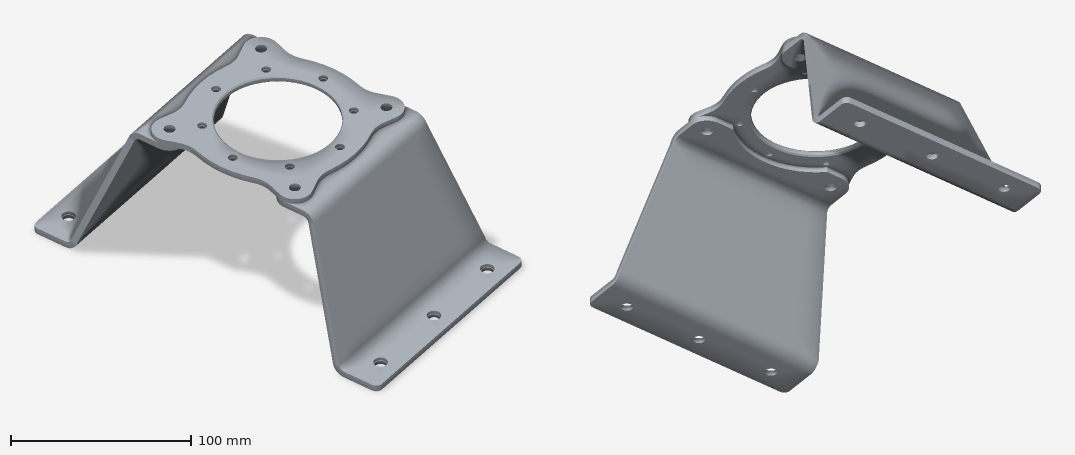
import cadquery as cq
import math

overall_length = 237.5
overall_height = 93.8
sheet = 4.0
recess_depth = 0.7

corner_hole_offset = 43.0
corner_radius = 10.2
bolt_diameter = 6.7
lobe_reach = 52.7
lobe_radius = 61.8
lobe_half_width = 19.2
scallop_radius = 19.0
bore_diameter = 71.5
bore_chamfer = 0.83
screw_count = 8
screw_circle_radius = 42.5
screw_diameter = 3.5
screw_head_diameter = 5.5
screw_head_depth = 2.0

foot_width = 137.8
top_width = 2 * (corner_hole_offset + corner_radius)
web_lean = 20.0
bend_inner_radius = 4.0
flange_bend_x = 55.8
foot_corner_radius = 4.0
foot_hole_x = 107.2
foot_hole_pitch = 50.1
foot_hole_diameter = 6.7
foot_sink_diameter = 8.0
foot_sink_depth = 2.0
flange_relief_radius = 46.3

plate_bottom = overall_height - sheet
bracket_height = plate_bottom + recess_depth
bend_outer_radius = bend_inner_radius + sheet
bend_angle = math.radians(90 - web_lean)
bend_sin = math.sin(bend_angle)
bend_cos = math.cos(bend_angle)
bend_run = (bend_inner_radius + bend_outer_radius) * bend_sin
bend_rise = (bend_inner_radius + bend_outer_radius) * (1 - bend_cos)
web_length = (bracket_height - sheet - bend_rise) / bend_sin
foot_bend_x = flange_bend_x + bend_run + web_length * bend_cos
flange_end_x = corner_hole_offset - corner_radius

foot_bend_centre = (foot_bend_x, sheet + bend_inner_radius)
foot_bend_end_angle = -math.pi / 2 - bend_angle


def on_circle(centre, radius, angle):
    return (centre[0] + radius * math.cos(angle), centre[1] + radius * math.sin(angle))


def scalloped_blank():
    """Plate blank: one scalloped side and its corner, repeated four times round the centre."""
    corner = (corner_hole_offset, corner_hole_offset)
    lobe = (0, lobe_reach - lobe_radius)
    lobe_angle = math.acos(lobe_half_width / lobe_radius)
    hollow = on_circle(lobe, lobe_radius + scallop_radius, lobe_angle)

    dx = hollow[0] - corner[0]
    dy = hollow[1] - corner[1]
    spread = math.acos((corner_radius + scallop_radius) / math.hypot(dx, dy))
    flank_angle = math.atan2(dy, dx) - spread
    lobe_end = on_circle(lobe, lobe_radius, lobe_angle)
    hollow_middle = on_circle(hollow, scallop_radius, -math.pi / 2)
    hollow_end = on_circle(hollow, scallop_radius, flank_angle + math.pi)
    corner_start = on_circle(corner, corner_radius, flank_angle)
    corner_middle = on_circle(corner, corner_radius, math.pi / 4)

    def mirrored(point):
        return (-point[0], point[1])

    def turned(point, quarter):
        for _ in range(quarter):
            point = (point[1], -point[0])
        return point

    outline = cq.Workplane("XY", origin=(0, 0, plate_bottom)).moveTo(*mirrored(corner_start))
    for quarter in range(4):
        outline = (
            outline
            .lineTo(*turned(mirrored(hollow_end), quarter))
            .threePointArc(turned(mirrored(hollow_middle), quarter), turned(mirrored(lobe_end), quarter))
            .threePointArc(turned((0, lobe_reach), quarter), turned(lobe_end, quarter))
            .threePointArc(turned(hollow_middle, quarter), turned(hollow_end, quarter))
            .lineTo(*turned(corner_start, quarter))
            .threePointArc(
                turned(corner_middle, quarter),
                turned(mirrored(corner_start), quarter + 1),
            )
        )
    return outline.close().extrude(sheet)


def corner_bolt_holes(body):
    spacing = 2 * corner_hole_offset
    cutter = (
        cq.Workplane("XY")
        .rect(spacing, spacing, forConstruction=True)
        .vertices()
        .circle(bolt_diameter / 2)
        .extrude(overall_height)
    )
    return body.cut(cutter)


def make_foot():
    """Foot and its bend at full width, with the counterbored mounting holes."""
    foot_inner_end = on_circle(foot_bend_centre, bend_inner_radius, foot_bend_end_angle)
    foot_outer_end = on_circle(foot_bend_centre, bend_outer_radius, foot_bend_end_angle)
    foot_middle_angle = -math.pi / 2 - bend_angle / 2
    foot = (
        cq.Workplane("XZ")
        .moveTo(overall_length / 2, 0)
        .lineTo(foot_bend_x, 0)
        .threePointArc(
            on_circle(foot_bend_centre, bend_outer_radius, foot_middle_angle),
            foot_outer_end,
        )
        .lineTo(*foot_inner_end)
        .threePointArc(
            on_circle(foot_bend_centre, bend_inner_radius, foot_middle_angle),
            (foot_bend_x, sheet),
        )
        .lineTo(overall_length / 2, sheet)
        .close()
        .extrude(foot_width / 2, both=True)
        .edges("|Z and >X")
        .fillet(foot_corner_radius)
    )
    foot_holes = [(foot_hole_x, row * foot_hole_pitch) for row in (-1, 0, 1)]
    return (
        foot
        .cut(
            cq.Workplane("XY").pushPoints(foot_holes)
            .circle(foot_hole_diameter / 2).extrude(sheet)
        )
        .cut(
            cq.Workplane("XY", origin=(0, 0, sheet)).pushPoints(foot_holes)
            .circle(foot_sink_diameter / 2).extrude(-foot_sink_depth)
        )
    )


def make_flange():
    """Flange and its bend at the narrower top width, ending in an ear round each bolt hole."""
    top_centre = (flange_bend_x, bracket_height - bend_outer_radius)
    top_end_angle = math.pi / 2 - bend_angle
    top_middle_angle = math.pi / 2 - bend_angle / 2
    flange = (
        cq.Workplane("XZ")
        .moveTo(flange_end_x, bracket_height)
        .lineTo(flange_bend_x, bracket_height)
        .threePointArc(
            on_circle(top_centre, bend_outer_radius, top_middle_angle),
            on_circle(top_centre, bend_outer_radius, top_end_angle),
        )
        .lineTo(*on_circle(top_centre, bend_inner_radius, top_end_angle))
        .threePointArc(
            on_circle(top_centre, bend_inner_radius, top_middle_angle),
            (flange_bend_x, bracket_height - sheet),
        )
        .lineTo(flange_end_x, bracket_height - sheet)
        .close()
        .extrude(top_width / 2, both=True)
        .edges("|Z and <X")
        .fillet(corner_radius)
        .cut(cq.Workplane("XY").circle(flange_relief_radius).extrude(overall_height))
    )
    return corner_bolt_holes(flange)


def make_web():
    """Leaning web, tapered between the two widths, starting where the foot bend ends."""
    web_start = on_circle(foot_bend_centre, bend_outer_radius, foot_bend_end_angle)
    web_plane = cq.Plane(
        origin=(web_start[0], 0, web_start[1]),
        xDir=(0, 1, 0),
        normal=(bend_sin, 0, bend_cos),
    )
    return (
        cq.Workplane(web_plane)
        .polyline([
            (-foot_width / 2, 0),
            (foot_width / 2, 0),
            (top_width / 2, web_length),
            (-top_width / 2, web_length),
        ])
        .close()
        .extrude(sheet)
    )


def make_bracket():
    """Bracket on the +X side: foot, tapered web and flange in one bent sheet."""
    return make_foot().union(make_web()).union(make_flange())


def chamfered_bore():
    """Cutter for the bore, flared by a chamfer at both ends."""
    radius = bore_diameter / 2
    return (
        cq.Workplane("XZ")
        .moveTo(0, plate_bottom)
        .lineTo(radius + bore_chamfer, plate_bottom)
        .lineTo(radius, plate_bottom + bore_chamfer)
        .lineTo(radius, overall_height - bore_chamfer)
        .lineTo(radius + bore_chamfer, overall_height)
        .lineTo(0, overall_height)
        .close()
        .revolve(360, (0, 0, 0), (0, 1, 0))
    )


def make_plate(brackets):
    plate = corner_bolt_holes(scalloped_blank())
    plate = plate.cut(chamfered_bore())
    plate = (
        plate.faces(">Z").workplane(origin=(0, 0, overall_height))
        .polarArray(screw_circle_radius, 0, 360, screw_count)
        .cboreHole(screw_diameter, screw_head_diameter, screw_head_depth)
    )
    for bracket in brackets:
        plate = plate.cut(bracket)
    return plate


right_bracket = make_bracket()
brackets = [right_bracket.rotate((0, 0, 0), (0, 0, 1), turn) for turn in (0, 180)]
plate = make_plate(brackets)

result = cq.Compound.makeCompound([plate.val(), *[bracket.val() for bracket in brackets]])